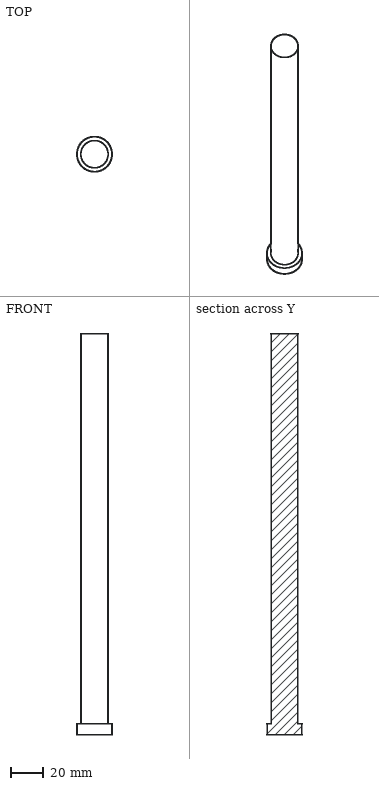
import cadquery as cq

total_length = 250.0
head_diameter = 22.0
head_height = 7.0
shaft_diameter = 17.0

head_radius = head_diameter / 2
shaft_radius = shaft_diameter / 2
head_bottom = -total_length / 2

head = cq.Workplane("XY").workplane(offset=head_bottom).circle(head_radius).extrude(head_height)
result = head.faces(">Z").workplane().circle(shaft_radius).extrude(total_length - head_height)